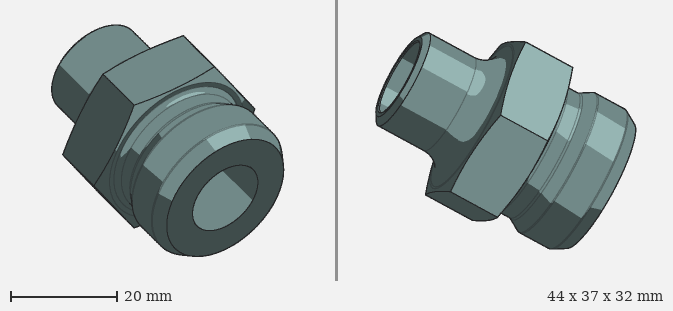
import cadquery as cq
import math

length = 44.0
pipe_end = 11.0
hex_start = 16.0
hex_end = 28.0

bore_radius = 15.0 / 2
pipe_radius = 20.0 / 2
groove_radius = 26.9 / 2
collar_radius = 30.0 / 2

rim_radius = 8.55
bevel_length = 0.95
bore_chamfer = 0.2

across_flats = 32.0
hex_face_radius = 15.45
hex_chamfer_angle = math.radians(15)

groove_fillet = 1.0
collar_cone_start = 32.05
cone_angle = math.radians(30)
groove_exit_fillet = 1.0
crest_fillet = 0.5
cone_length = (collar_radius - groove_radius) / math.tan(cone_angle)


def make_pipe():
    """Bevelled pipe end that flares into the hexagon through a quarter-round."""
    flare_length = hex_start - pipe_end
    flare_radius = pipe_radius + flare_length
    arc_reach = flare_length * math.sin(math.radians(45))
    flare_middle = (pipe_end + arc_reach, flare_radius - arc_reach)
    return (
        cq.Workplane("XY")
        .moveTo(0, 0)
        .lineTo(0, rim_radius)
        .lineTo(bevel_length, pipe_radius)
        .lineTo(pipe_end, pipe_radius)
        .threePointArc(flare_middle, (hex_start, flare_radius))
        .lineTo(hex_start, 0)
        .close()
        .revolve(360, (0, 0, 0), (1, 0, 0))
    )


def make_hexagon():
    """Hexagon with corners on Y, chamfered conically on both faces."""
    corner_radius = across_flats / math.sqrt(3)
    chamfer_length = (corner_radius - hex_face_radius) * math.tan(hex_chamfer_angle)
    prism = (
        cq.Workplane("YZ", origin=(hex_start, 0, 0))
        .polygon(6, 2 * corner_radius)
        .extrude(hex_end - hex_start)
    )
    envelope = (
        cq.Workplane("XY")
        .moveTo(hex_start, 0)
        .lineTo(hex_start, hex_face_radius)
        .lineTo(hex_start + chamfer_length, corner_radius)
        .lineTo(hex_end - chamfer_length, corner_radius)
        .lineTo(hex_end, hex_face_radius)
        .lineTo(hex_end, 0)
        .close()
        .revolve(360, (0, 0, 0), (1, 0, 0))
    )
    return prism.intersect(envelope)


def make_collar():
    """Relief groove and collar with a cone on each side and rounded crests."""
    crest_start = collar_cone_start + cone_length
    crest_end = length - cone_length
    collar = (
        cq.Workplane("XY")
        .moveTo(hex_end, 0)
        .lineTo(hex_end, groove_radius)
        .lineTo(collar_cone_start, groove_radius)
        .lineTo(crest_start, collar_radius)
        .lineTo(crest_end, collar_radius)
        .lineTo(length, groove_radius)
        .lineTo(length, 0)
        .close()
        .revolve(360, (0, 0, 0), (1, 0, 0))
    )

    def circle_at(x, radius):
        return cq.selectors.BoxSelector(
            (x - 0.05, -2 * radius, -2 * radius),
            (x + 0.05, 2 * radius, 2 * radius),
            boundingbox=True,
        )

    for x in (crest_start, crest_end):
        collar = collar.edges(circle_at(x, collar_radius)).fillet(crest_fillet)
    return collar.edges(circle_at(collar_cone_start, groove_radius)).fillet(groove_exit_fillet)


def make_groove_fillet():
    """Concave round between the groove floor and the hexagon face."""
    top = groove_radius + groove_fillet
    arc_reach = groove_fillet * math.sin(math.radians(45))
    fillet_end = hex_end + groove_fillet
    return (
        cq.Workplane("XY")
        .moveTo(hex_end, 0)
        .lineTo(hex_end, top)
        .threePointArc((fillet_end - arc_reach, top - arc_reach), (fillet_end, groove_radius))
        .lineTo(fillet_end, 0)
        .close()
        .revolve(360, (0, 0, 0), (1, 0, 0))
    )


def make_bore():
    """Through bore, widened by a small chamfer at the weld end."""
    mouth_radius = bore_radius + bore_chamfer
    return (
        cq.Workplane("XY")
        .moveTo(0, 0)
        .lineTo(0, mouth_radius)
        .lineTo(bore_chamfer, bore_radius)
        .lineTo(length, bore_radius)
        .lineTo(length, 0)
        .close()
        .revolve(360, (0, 0, 0), (1, 0, 0))
    )


result = (
    make_pipe()
    .union(make_hexagon())
    .union(make_collar())
    .union(make_groove_fillet())
    .cut(make_bore())
)